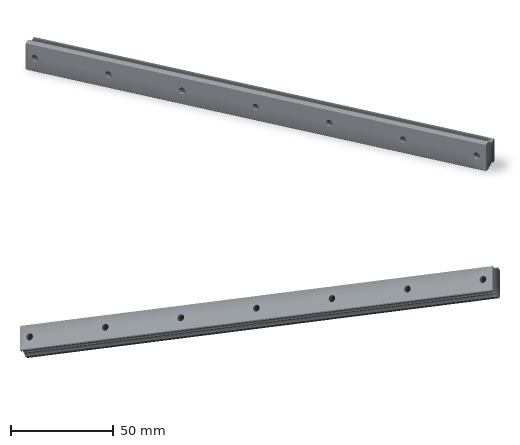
import cadquery as cq

length = 250.0
depth = 9.5
height = 15.0

edge_chamfer = 0.4
head_end_y = -1.7
land_start_y = -0.5
land_z = 6.4
groove_center_y = 2.0
groove_radius = 1.6
groove_depth = 0.8

hole_count = 7
hole_pitch = 40.0
hole_diameter = 3.5


def rail_bar():
    """Extrude the ungrooved cross-section, which is mirrored about the mid-height plane."""
    front_y = -depth / 2
    back_y = depth / 2
    top_z = height / 2
    upper_outline = [
        (front_y, top_z - edge_chamfer),
        (front_y + edge_chamfer, top_z),
        (head_end_y, top_z),
        (land_start_y, land_z),
        (back_y - edge_chamfer, land_z),
        (back_y, land_z - edge_chamfer),
    ]
    lower_outline = [(y, -z) for y, z in reversed(upper_outline)]
    profile = cq.Workplane("YZ").polyline(upper_outline + lower_outline).close()
    return profile.extrude(length / 2, both=True)


def raceway_grooves():
    """Cylinders along X that leave one round groove in the upper land and one in the lower."""
    axis_z = land_z - groove_depth + groove_radius
    return (
        cq.Workplane("YZ")
        .pushPoints([(groove_center_y, axis_z), (groove_center_y, -axis_z)])
        .circle(groove_radius)
        .extrude(length / 2, both=True)
    )


def mounting_holes():
    """Cylinders through the depth, one row along the length."""
    return (
        cq.Workplane("XZ")
        .rarray(hole_pitch, 1, hole_count, 1)
        .circle(hole_diameter / 2)
        .extrude(depth, both=True)
    )


result = rail_bar().cut(raceway_grooves()).cut(mounting_holes())